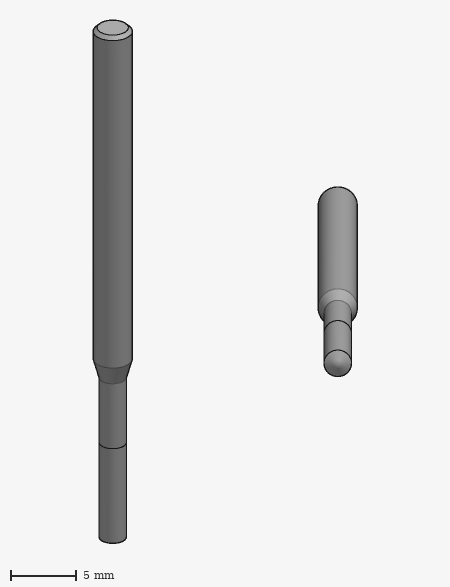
import cadquery as cq
import math

TOTAL_LENGTH = 45.0
SHANK_DIAMETER = 3.0
SHANK_CHAMFER = 0.3
CUTTER_DIAMETER = 2.1
SHANK_START = 16.05
TAPER_START = 14.45
CUTTER_LENGTH = 8.78
POINT_ANGLE = 130.0

shank_radius = SHANK_DIAMETER / 2
cutter_radius = CUTTER_DIAMETER / 2
point_height = cutter_radius / math.tan(math.radians(POINT_ANGLE / 2))
tip_z = -TOTAL_LENGTH / 2
top_z = tip_z + TOTAL_LENGTH
joint_z = tip_z + CUTTER_LENGTH


def revolve_profile(points):
    """Turn a closed (radius, height) outline about the Z axis."""
    return (
        cq.Workplane("XZ")
        .polyline(points)
        .close()
        .revolve(360, (0, 0, 0), (0, 1, 0))
    )


def make_holder():
    """Chamfered shank, taper and plain neck, down to the flat joint."""
    return revolve_profile([
        (0, joint_z),
        (cutter_radius, joint_z),
        (cutter_radius, tip_z + TAPER_START),
        (shank_radius, tip_z + SHANK_START),
        (shank_radius, top_z - SHANK_CHAMFER),
        (shank_radius - SHANK_CHAMFER, top_z),
        (0, top_z),
    ])


def make_cutter():
    """Cylindrical cutting end with a conical point."""
    return revolve_profile([
        (0, tip_z),
        (cutter_radius, tip_z + point_height),
        (cutter_radius, joint_z),
        (0, joint_z),
    ])


holder = make_holder()
cutter = make_cutter()

result = cq.Compound.makeCompound([holder.val(), cutter.val()])